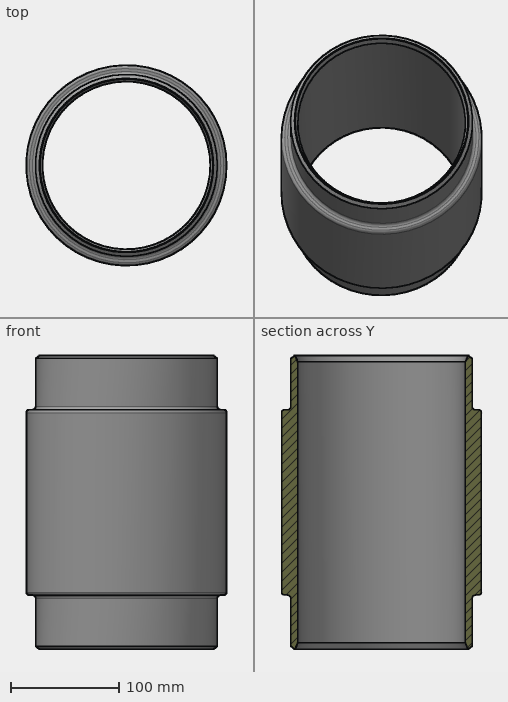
import cadquery as cq

total_length = 272.0
body_diameter = 185.8
neck_diameter = 168.5
bore_diameter = 155.0
neck_length = 50.0
body_length = total_length - 2 * neck_length

edge_radius = 3.0
bevel_width = 3.5
bevel_length = 2.7
mouth_widening = 2.5
mouth_depth = 6.0


def cylinder(diameter, length):
    """Solid cylinder on the Z axis, centred on the origin."""
    return cq.Workplane("XY").cylinder(length, diameter / 2)


def outer_shape():
    """Wide body with a narrower neck at each end, rounded shoulders and bevelled ends."""
    body = cylinder(body_diameter, body_length)
    necks = cylinder(neck_diameter, total_length)
    rounded = body.union(necks).edges("%CIRCLE and (not (>Z or <Z))").fillet(edge_radius)
    return rounded.faces(">Z or <Z").edges().chamfer(bevel_length, bevel_width)


def tapered_mouth():
    """Cone that widens the bore towards the upper end."""
    bore_radius = bore_diameter / 2
    cone = cq.Solid.makeCone(
        bore_radius,
        bore_radius + mouth_widening,
        mouth_depth,
        pnt=cq.Vector(0, 0, total_length / 2 - mouth_depth),
    )
    return cq.Workplane(obj=cone)


bore = cylinder(bore_diameter, total_length)
upper_mouth = tapered_mouth()
lower_mouth = upper_mouth.mirror("XY")

result = outer_shape().cut(bore).cut(upper_mouth).cut(lower_mouth)